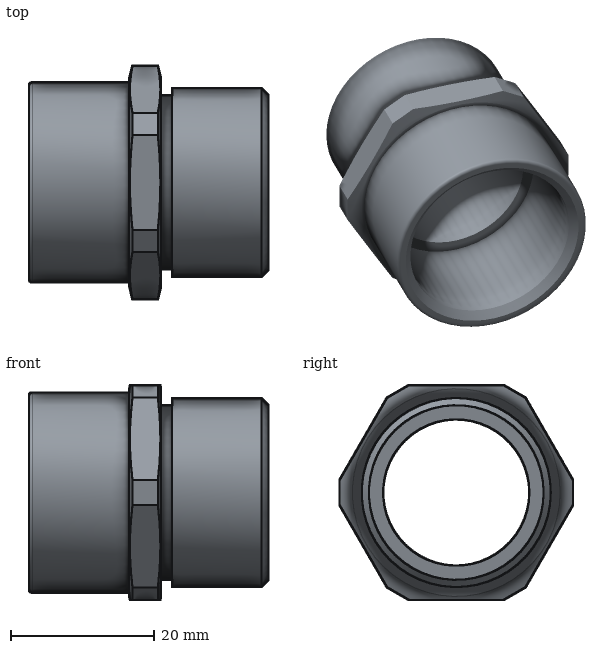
import cadquery as cq
import math

total_length = 33.5
socket_length = 14.0
collar_width = 4.5
neck_width = 1.5

socket_diameter = 28.0
neck_diameter = 24.4
spigot_diameter = 26.4

hexagon_sides = 6
collar_across_flats = 30.0
collar_across_corner_cuts = 32.63
collar_bevel_diameter = 29.0
collar_bevel_angle = 14.0

socket_rim_round = 0.5
spigot_chamfer = 1.0

socket_bore_diameter = 23.45
socket_mouth_diameter = 25.53
socket_mouth_depth = 1.05
socket_bore_depth = 16.0
through_bore_diameter = 20.37

collar_end = socket_length + collar_width
spigot_start = collar_end + neck_width


def cylinder(diameter, start, end):
    """Solid cylinder about the X axis between two X positions."""
    return cq.Workplane("YZ").workplane(offset=start).circle(diameter / 2).extrude(end - start)


def hexagon_prism(across_flats, corner_angle):
    """Hexagonal prism filling the collar width, one corner at corner_angle degrees from +Y."""
    circumscribed_diameter = across_flats / math.cos(math.pi / hexagon_sides)
    return (
        cq.Workplane("YZ")
        .workplane(offset=socket_length)
        .polygon(hexagon_sides, circumscribed_diameter)
        .extrude(collar_width)
        .rotate((0, 0, 0), (1, 0, 0), corner_angle)
    )


def bevel_envelope():
    """Disc with conical edges that bevels the corners of both collar faces."""
    face_radius = collar_bevel_diameter / 2
    bevel_depth = collar_width / 2
    rim_radius = face_radius + bevel_depth / math.tan(math.radians(collar_bevel_angle))
    return (
        cq.Workplane("XY")
        .moveTo(socket_length, 0)
        .lineTo(socket_length, face_radius)
        .lineTo(socket_length + bevel_depth, rim_radius)
        .lineTo(collar_end, face_radius)
        .lineTo(collar_end, 0)
        .close()
        .revolve(360, (0, 0, 0), (1, 0, 0))
    )


def make_collar():
    """Hexagon with flats facing +Z and -Z, its corners cut flat and both faces bevelled."""
    half_side_angle = 360 / hexagon_sides / 2
    hexagon = hexagon_prism(collar_across_flats, 0)
    corner_cutter = hexagon_prism(collar_across_corner_cuts, half_side_angle)
    return hexagon.intersect(corner_cutter).intersect(bevel_envelope())


def make_bore():
    """Stepped bore: flared mouth, wide socket bore, then a narrower through bore."""
    mouth_radius = socket_mouth_diameter / 2
    socket_radius = socket_bore_diameter / 2
    through_radius = through_bore_diameter / 2
    return (
        cq.Workplane("XY")
        .moveTo(0, 0)
        .lineTo(0, mouth_radius)
        .lineTo(socket_mouth_depth, socket_radius)
        .lineTo(socket_bore_depth, socket_radius)
        .lineTo(socket_bore_depth, through_radius)
        .lineTo(total_length, through_radius)
        .lineTo(total_length, 0)
        .close()
        .revolve(360, (0, 0, 0), (1, 0, 0))
    )


socket = cylinder(socket_diameter, 0, socket_length).faces("<X").edges().fillet(socket_rim_round)
neck = cylinder(neck_diameter, collar_end, spigot_start)
spigot = cylinder(spigot_diameter, spigot_start, total_length).faces(">X").edges().chamfer(spigot_chamfer)

result = socket.union(make_collar()).union(neck).union(spigot).cut(make_bore())